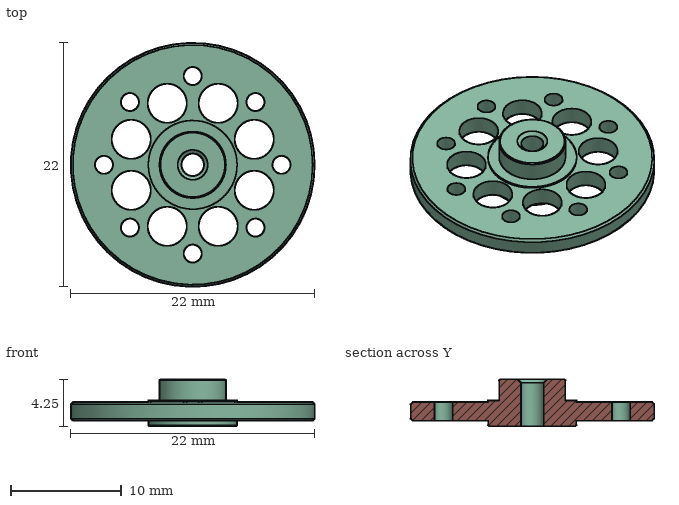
import cadquery as cq

total_height = 4.25
lower_boss_height = 0.5
plate_thickness = 1.7
collar_height = 0.15
plate_top = lower_boss_height + plate_thickness
collar_top = plate_top + collar_height

plate_diameter = 22.0
collar_diameter = 8.0
hub_diameter = 6.0

plate_chamfer = 0.2
boss_chamfer = 0.1

bore_diameter = 2.0
countersink_diameter = 2.5
countersink_depth = 0.2
bore_edge_chamfer = 0.1

holes_per_circle = 8
hole_pitch_angle = 360.0 / holes_per_circle
lightening_hole_diameter = 3.5
lightening_circle_radius = 6.0
screw_hole_diameter = 1.6
screw_circle_radius = 8.0


def disc(diameter, bottom, top):
    """Solid disc on the Z axis between two heights."""
    return cq.Workplane("XY").workplane(offset=bottom).circle(diameter / 2).extrude(top - bottom)


def hole_circle(circle_radius, hole_diameter, start_angle):
    """Cutters for evenly spaced through holes on a circle around the Z axis."""
    return (
        cq.Workplane("XY")
        .polarArray(circle_radius, start_angle, 360, holes_per_circle, rotate=False)
        .circle(hole_diameter / 2)
        .extrude(total_height)
    )


def turned_body():
    """Plate with a lower boss, a low collar and the hub above it."""
    plate = disc(plate_diameter, lower_boss_height, plate_top).edges().chamfer(plate_chamfer)
    collar = disc(collar_diameter, 0, collar_top).edges("<Z").chamfer(boss_chamfer)
    hub = disc(hub_diameter, 0, total_height).edges(">Z").chamfer(boss_chamfer)
    return plate.union(collar).union(hub)


def bore_cutter():
    """Revolved through bore, opening upward in two conical steps."""
    bore_radius = bore_diameter / 2
    countersink_radius = countersink_diameter / 2
    edge_bottom = total_height - bore_edge_chamfer
    return (
        cq.Workplane("XZ")
        .lineTo(bore_radius, 0)
        .lineTo(bore_radius, edge_bottom - countersink_depth)
        .lineTo(countersink_radius, edge_bottom)
        .lineTo(countersink_radius + bore_edge_chamfer, total_height)
        .lineTo(0, total_height)
        .close()
        .revolve(360, (0, 0, 0), (0, 1, 0))
    )


lightening_holes = hole_circle(
    lightening_circle_radius, lightening_hole_diameter, hole_pitch_angle / 2
)
screw_holes = hole_circle(screw_circle_radius, screw_hole_diameter, 0)

result = turned_body().cut(bore_cutter()).cut(lightening_holes).cut(screw_holes)